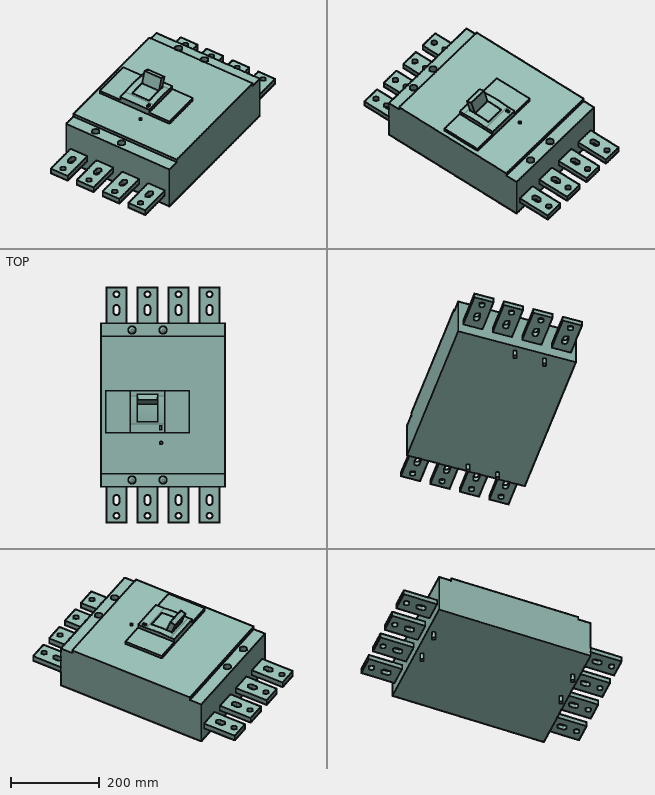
import cadquery as cq
import math


pole_count = 4
pole_pitch = 70.0
overall_length = 530.0

housing_width = pole_count * pole_pitch
housing_length = 369.0
shoulder_height = 112.0
cover_length = 309.5
cover_height = 120.0

terminal_width = 45.5
terminal_thickness = 14.5
front_terminal_bottom = 28.0
rear_terminal_bottom = 31.0
terminal_hole_diameter = 12.5
terminal_hole_inset = 15.5
terminal_slot_inset = 51.0
terminal_slot_length = 22.0

panel_x = -pole_pitch / 2
panel_y = -15.5
wing_width = 188.5
panel_length = 95.5
wing_top = 126.5
block_width = 78.5
block_top = 135.0

crown_y = -10.5
crown_length = 63.5
crown_rise = 2.0
recess_length = 54.0
recess_depth = 0.5

lever_width = 45.5
lever_thickness = 13.0
lever_lean = 20.0
lever_tip_y = 12.0
lever_tip_z = 166.0
lever_length = 42.5

indicator_x = -5.5
indicator_y = -51.5
indicator_width = 5.0
indicator_length = 8.5
button_x = -4.0
button_y = -85.5
button_diameter = 6.5
marker_depth = 1.0

screw_xs = (-pole_pitch, 0.0)
screw_ys = (-169.0, 169.0)
screw_shank_diameter = 8.5
screw_protrusion = 18.5
screw_head_diameter = 17.0
screw_head_flat_diameter = 5.5
screw_rim_depth = 21.0
screw_head_edge = 5.5

terminal_xs = [(i - (pole_count - 1) / 2) * pole_pitch for i in range(pole_count)]
terminal_length = (overall_length - housing_length) / 2
screw_dome_radius = (screw_head_diameter - screw_head_flat_diameter) / 2
screw_rim_z = shoulder_height - screw_rim_depth
screw_seat_z = screw_rim_z - screw_head_edge


def block_at(x, y, width, length, bottom, top):
    """Rectangular block centred at (x, y), from bottom to top."""
    return cq.Workplane("XY", origin=(x, y, bottom)).rect(width, length).extrude(top - bottom)


def cylinder_at(x, y, diameter, bottom, top):
    """Upright cylinder centred at (x, y), from bottom to top."""
    return cq.Workplane("XY", origin=(x, y, bottom)).circle(diameter / 2).extrude(top - bottom)


def make_terminal(x, end, bottom):
    """Drilled and slotted terminal bar; end is +1 at the +Y end, -1 at the -Y end."""
    free_end = overall_length / 2
    top = bottom + terminal_thickness
    bar = block_at(x, end * (free_end - terminal_length / 2), terminal_width, terminal_length, bottom, top)
    hole = cylinder_at(x, end * (free_end - terminal_hole_inset), terminal_hole_diameter, bottom, top)
    slot = (
        cq.Workplane("XY", origin=(x, end * (free_end - terminal_slot_inset), bottom))
        .slot2D(terminal_slot_length, terminal_hole_diameter, 90)
        .extrude(terminal_thickness)
    )
    return bar.cut(hole).cut(slot)


def make_crown():
    """Shallow arched strip across the full width of the operating block."""
    half = crown_length / 2
    return (
        cq.Workplane("YZ", origin=(panel_x, crown_y, block_top))
        .moveTo(-half, 0)
        .threePointArc((0, crown_rise), (half, 0))
        .close()
        .extrude(block_width / 2, both=True)
    )


def make_lever_recess():
    """Thin arched slab just under the crown, where the lever travels."""
    crown_radius = ((crown_length / 2) ** 2 + crown_rise ** 2) / (2 * crown_rise)
    floor_radius = crown_radius - recess_depth
    half = recess_length / 2
    floor_mid = crown_rise - recess_depth
    floor_end = floor_mid - floor_radius + math.sqrt(floor_radius ** 2 - half ** 2)
    return (
        cq.Workplane("YZ", origin=(panel_x, crown_y, block_top))
        .moveTo(-half, floor_end)
        .threePointArc((0, floor_mid), (half, floor_end))
        .lineTo(half, crown_rise)
        .lineTo(-half, crown_rise)
        .close()
        .extrude(lever_width / 2, both=True)
    )


def make_lever():
    """Flat handle leaning toward +Y, rooted in the operating block."""
    lean = math.radians(lever_lean)
    down = (-lever_length * math.sin(lean), -lever_length * math.cos(lean))
    across = (lever_thickness * math.cos(lean), -lever_thickness * math.sin(lean))
    return (
        cq.Workplane("YZ", origin=(panel_x, lever_tip_y, lever_tip_z))
        .polyline([(0, 0), across, (across[0] + down[0], across[1] + down[1]), down])
        .close()
        .extrude(lever_width / 2, both=True)
    )


def make_housing():
    """Moulded case with cover, operating panel, lever and terminal bars."""
    housing = block_at(0, 0, housing_width, housing_length, 0, shoulder_height)
    housing = housing.union(block_at(0, 0, housing_width, cover_length, shoulder_height, cover_height))

    housing = housing.union(
        block_at(panel_x, panel_y, wing_width, panel_length, cover_height, wing_top)
    )
    housing = housing.union(
        block_at(panel_x, panel_y, block_width, panel_length, cover_height, block_top)
    )
    housing = housing.union(make_crown()).cut(make_lever_recess()).union(make_lever())

    housing = housing.cut(
        block_at(indicator_x, indicator_y, indicator_width, indicator_length,
                 block_top - marker_depth, block_top)
    )
    housing = housing.cut(
        cylinder_at(button_x, button_y, button_diameter, cover_height - marker_depth, cover_height)
    )

    for x in terminal_xs:
        housing = housing.union(make_terminal(x, -1, front_terminal_bottom))
        housing = housing.union(make_terminal(x, 1, rear_terminal_bottom))

    for x in screw_xs:
        for y in screw_ys:
            housing = housing.cut(cylinder_at(x, y, screw_shank_diameter, 0, screw_seat_z))
            housing = housing.cut(cylinder_at(x, y, screw_head_diameter, screw_seat_z, shoulder_height))
    return housing


def make_screw(x, y):
    """Round-headed mounting screw whose shank sticks out below the housing."""
    shank = cylinder_at(x, y, screw_shank_diameter, -screw_protrusion, screw_seat_z)
    head = cylinder_at(x, y, screw_head_diameter, screw_seat_z, screw_rim_z + screw_dome_radius)
    head = head.faces(">Z").edges().fillet(screw_dome_radius)
    return shank.union(head)


housing = make_housing()
screws = [make_screw(x, y) for x in screw_xs for y in screw_ys]

result = cq.Compound.makeCompound([housing.val(), *[screw.val() for screw in screws]])